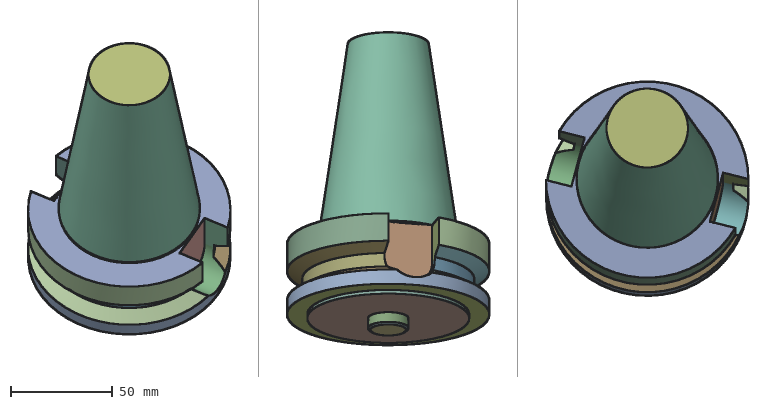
import cadquery as cq

total_height = 147.8
pilot_height = 6.0
register_top = 8.0
lower_rim_top = 15.4
groove_floor_bottom = 19.4
groove_floor_top = 26.3
upper_rim_bottom = 30.3
flange_top = 44.5
taper_base = 45.5

pilot_diameter = 20.0
register_diameter = 80.0
flange_diameter = 99.9
groove_diameter = 85.0
neck_diameter = 69.5
taper_base_diameter = 69.9
taper_tip_diameter = 40.2

pilot_chamfer = 1.0

slot_width = 25.7
slot_bottom = 12.0
slot_floor_offset = 35.3


def make_body():
    """Revolve the half profile of pilot, register, grooved flange and taper."""
    pilot_radius = pilot_diameter / 2
    register_radius = register_diameter / 2
    flange_radius = flange_diameter / 2
    groove_radius = groove_diameter / 2
    neck_radius = neck_diameter / 2
    profile = [
        (0, 0),
        (pilot_radius - pilot_chamfer, 0),
        (pilot_radius, pilot_chamfer),
        (pilot_radius, pilot_height),
        (register_radius, pilot_height),
        (register_radius, register_top),
        (flange_radius, register_top),
        (flange_radius, lower_rim_top),
        (groove_radius, groove_floor_bottom),
        (groove_radius, groove_floor_top),
        (flange_radius, upper_rim_bottom),
        (flange_radius, flange_top),
        (neck_radius, flange_top),
        (taper_base_diameter / 2, taper_base),
        (taper_tip_diameter / 2, total_height),
        (0, total_height),
    ]
    return cq.Workplane("XZ").polyline(profile).close().revolve(360, (0, 0), (0, 1))


def make_slot_cutter(side):
    """Round-bottomed, open-topped slot running outward along side * X."""
    half_width = slot_width / 2
    arc_center_height = slot_bottom + half_width
    return (
        cq.Workplane("YZ")
        .workplane(offset=side * slot_floor_offset)
        .moveTo(-half_width, flange_top)
        .lineTo(-half_width, arc_center_height)
        .threePointArc((0, slot_bottom), (half_width, arc_center_height))
        .lineTo(half_width, flange_top)
        .close()
        .extrude(side * flange_diameter / 2)
    )


result = make_body()
for side in (-1, 1):
    result = result.cut(make_slot_cutter(side))